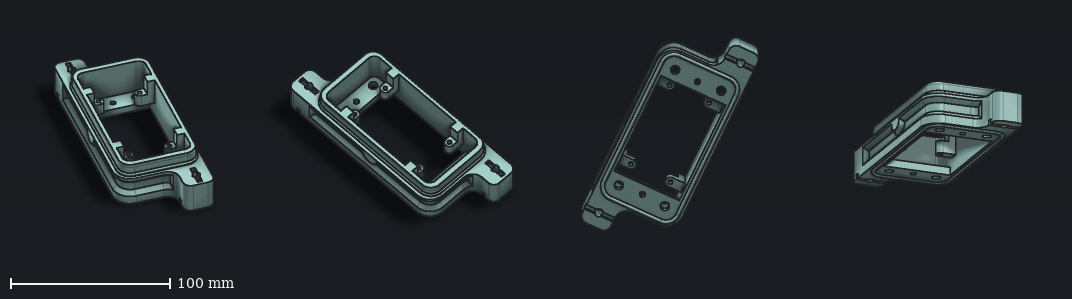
import cadquery as cq
import math

BASE_X = 107.7
BASE_Y = 58.0
OVERALL_X = 145.0
EAR_Y = 20.0
BASE_CORNER_R = 11.7
EAR_CORNER_R = 5.1
EAR_FILLET_R = 7.7
BASE_BOTTOM_Z = 1.3
BASE_TOP_Z = 21.3

RIM_X = 102.7
RIM_Y = 51.6
RIM_CORNER_R = 8.3
TOP_Z = 30.3
RIM_BEVEL_IN = 0.5
RIM_BEVEL_DOWN = 1.7
BEAD_R = BASE_BOTTOM_Z
BEAD_INSET = 0.1

CAVITY_X = 94.0
CAVITY_Y = 45.0
CAVITY_CORNER_R = 5.0
OPENING_X = 68.5
SHELF_TOP_Z = 6.5
SHELF_HOLE_D = 5.5
SHELF_HOLE_X = 41.5
SHELF_HOLE_Y = 16.0
SHELF_SMALL_HOLE_D = 3.5
SHELF_SMALL_HOLE_X = 40.5

POST_X = 28.4
POST_WIDTH = 6.5
POST_DEPTH = 5.0
POST_BOTTOM_Z = 12.0
LUG_TOP_Z = 20.2
LUG_HOLE_Y = 13.6
LUG_HOLE_D = 2.8

GROOVE_BOTTOM_Z = 7.2
GROOVE_TOP_Z = 19.1
GROOVE_DEPTH = 3.0
GROOVE_SLOPE_ANGLE = 45
GROOVE_START_X = -53.2
GROOVE_END_X = 56.0
GROOVE_END_Y = 6.7
GROOVE_END_ANGLE = 8.0
THUMB_FACE_R = 6.1

EAR_HOLE_X = 63.0
EAR_HOLE_Y = 19.6
EAR_HOLE_D = 5.1
EAR_SLOT_LENGTH = 14.2
EAR_SLOT_WIDTH = 3.0
EAR_SLOT_DEPTH = 3.0

HALF_TURN = 180
ORIGIN = (0, 0, 0)
Z_END = (0, 0, 1)


def both_halves(shape):
    """The shape together with its copy turned half a turn about Z."""
    return shape.union(shape.rotate(ORIGIN, Z_END, HALF_TURN))


def rounded_block(length, width, corner_r, bottom_z, top_z):
    block = cq.Workplane("XY", origin=(0, 0, bottom_z)).rect(length, width).extrude(top_z - bottom_z)
    return block.edges("|Z").fillet(corner_r)


def mirrored_points(x, y):
    """Four points mirrored about both axes."""
    return [(sx * x, sy * y) for sx in (-1, 1) for sy in (-1, 1)]


def base_outline(z):
    """Z-shaped base outline at height z; each half lists corner, radius and directions in and out."""
    half = [
        (-OVERALL_X / 2, -BASE_Y / 2, EAR_CORNER_R, (0, -1), (1, 0)),
        (BASE_X / 2, -BASE_Y / 2, BASE_CORNER_R, (1, 0), (0, 1)),
        (BASE_X / 2, BASE_Y / 2 - EAR_Y, EAR_FILLET_R, (0, 1), (1, 0)),
        (OVERALL_X / 2, BASE_Y / 2 - EAR_Y, EAR_CORNER_R, (1, 0), (0, 1)),
    ]
    corners = []
    for sign in (1, -1):
        for x, y, r, (in_x, in_y), (out_x, out_y) in half:
            start = (sign * (x - r * in_x), sign * (y - r * in_y))
            end = (sign * (x + r * out_x), sign * (y + r * out_y))
            corners.append((start, end))
    first_end = corners[0][1]
    outline = cq.Workplane("XY", origin=(0, 0, z)).moveTo(*first_end)
    for start, end in corners[1:] + corners[:1]:
        outline = outline.lineTo(*start).tangentArcPoint(end, relative=False)
    return outline.close()


def bead(z):
    """Round bar following the rim's outer wall at height z."""
    path_x = RIM_X - 2 * BEAD_INSET
    path_y = RIM_Y - 2 * BEAD_INSET
    path = rounded_block(path_x, path_y, RIM_CORNER_R, z, TOP_Z).faces("<Z").wires()
    return cq.Workplane("YZ", origin=(0, -path_y / 2, z)).circle(BEAD_R).sweep(path)


def groove_zone():
    """Plan area of one groove: from a 45 degree end on the front face round to the side fillet."""
    end_overlap = 1.5
    end_dx = math.cos(math.radians(GROOVE_END_ANGLE))
    end_dy = math.sin(math.radians(GROOVE_END_ANGLE))
    inner_end_x = GROOVE_END_X / 2
    inner_end_y = GROOVE_END_Y - (GROOVE_END_X - inner_end_x) * end_dy / end_dx
    corners = [
        (GROOVE_START_X + BASE_Y / 2, 0),
        (inner_end_x, inner_end_y),
        (GROOVE_END_X + end_overlap * end_dx, GROOVE_END_Y + end_overlap * end_dy),
        (GROOVE_END_X + end_overlap * end_dx, -BASE_Y / 2),
        (GROOVE_START_X, -BASE_Y / 2),
    ]
    zone = cq.Workplane("XY", origin=(0, 0, GROOVE_BOTTOM_Z)).polyline(corners).close()
    return zone.extrude(GROOVE_TOP_Z - GROOVE_BOTTOM_Z)


def thumb_boss():
    """Cone on the groove floor whose lower half stays as a boss, hanging from the groove's top edge."""
    floor_y = -BASE_Y / 2 + GROOVE_DEPTH
    face = cq.Workplane("XZ", origin=(0, floor_y, GROOVE_TOP_Z))
    return face.circle(THUMB_FACE_R + GROOVE_DEPTH).extrude(GROOVE_DEPTH, taper=GROOVE_SLOPE_ANGLE)


def grooves():
    """Cutter for both grooves: a band round the base less the waisted core that remains."""
    band = base_outline(GROOVE_BOTTOM_Z).extrude(GROOVE_TOP_Z - GROOVE_BOTTOM_Z)
    slope_height = GROOVE_DEPTH / math.tan(math.radians(GROOVE_SLOPE_ANGLE))
    lower_slope = base_outline(GROOVE_BOTTOM_Z).extrude(slope_height, taper=GROOVE_SLOPE_ANGLE)
    upper_slope = base_outline(GROOVE_TOP_Z).extrude(-slope_height, taper=GROOVE_SLOPE_ANGLE)
    waist = base_outline(GROOVE_BOTTOM_Z).offset2D(-GROOVE_DEPTH).extrude(GROOVE_TOP_Z - GROOVE_BOTTOM_Z)
    one_groove = band.cut(waist).cut(lower_slope).cut(upper_slope).intersect(groove_zone())
    return both_halves(one_groove.cut(thumb_boss()))


def rim():
    """Upright rim on the base, with a steep bevel at the top."""
    block = rounded_block(RIM_X, RIM_Y, RIM_CORNER_R, BASE_TOP_Z, TOP_Z)
    return block.faces(">Z").chamfer(RIM_BEVEL_DOWN, RIM_BEVEL_IN)


def cavity():
    """Open cavity narrowing between the end shelves to a rectangular opening in the bottom."""
    upper = rounded_block(CAVITY_X, CAVITY_Y, CAVITY_CORNER_R, SHELF_TOP_Z, TOP_Z)
    opening = cq.Workplane("XY").rect(OPENING_X, CAVITY_Y).extrude(TOP_Z)
    return upper.union(opening)


def shelf_holes():
    plane = cq.Workplane("XY")
    large_points = mirrored_points(SHELF_HOLE_X, SHELF_HOLE_Y)
    large = plane.pushPoints(large_points).circle(SHELF_HOLE_D / 2).extrude(SHELF_TOP_Z)
    small_points = [(-SHELF_SMALL_HOLE_X, 0), (SHELF_SMALL_HOLE_X, 0)]
    small = plane.pushPoints(small_points).circle(SHELF_SMALL_HOLE_D / 2).extrude(SHELF_TOP_Z)
    return large.union(small)


def post(x, side):
    """Full-height post on one long wall with a lower round-ended lug; side is the sign of its Y."""
    wall_y = side * CAVITY_Y / 2
    plane = cq.Workplane("XY", origin=(x, 0, POST_BOTTOM_Z))
    upright_y = wall_y - side * POST_DEPTH / 2
    upright = plane.center(0, upright_y).rect(POST_WIDTH, POST_DEPTH).extrude(TOP_Z - POST_BOTTOM_Z)
    hole_y = side * LUG_HOLE_Y
    lug_height = LUG_TOP_Z - POST_BOTTOM_Z
    lug_middle = plane.center(0, (wall_y + hole_y) / 2)
    lug_straight = lug_middle.rect(POST_WIDTH, abs(wall_y - hole_y)).extrude(lug_height)
    lug_end = plane.center(0, hole_y).circle(POST_WIDTH / 2).extrude(lug_height)
    hole = plane.center(0, hole_y).circle(LUG_HOLE_D / 2).extrude(lug_height)
    lug = lug_straight.union(lug_end)
    return upright.union(lug).cut(hole)


def ear_cuts():
    """Through hole, top slot and bottom cross slot in each ear."""
    plane = cq.Workplane("XY").center(-EAR_HOLE_X, -EAR_HOLE_Y)
    hole = plane.circle(EAR_HOLE_D / 2).extrude(BASE_TOP_Z)
    top = plane.workplane(offset=BASE_TOP_Z)
    top_slot = top.rect(EAR_SLOT_LENGTH, EAR_SLOT_WIDTH).extrude(-EAR_SLOT_DEPTH)
    bottom = plane.workplane(offset=BASE_BOTTOM_Z)
    bottom_slot = bottom.rect(EAR_SLOT_WIDTH, 2 * EAR_Y).extrude(EAR_SLOT_DEPTH)
    return both_halves(hole.union(top_slot).union(bottom_slot))


base = base_outline(BASE_BOTTOM_Z).extrude(BASE_TOP_Z - BASE_BOTTOM_Z).cut(grooves())
result = base.union(rim())
for bead_z in (BASE_BOTTOM_Z, BASE_TOP_Z + BEAD_R):
    result = result.union(bead(bead_z))
result = result.cut(cavity()).cut(shelf_holes()).cut(ear_cuts())
for post_x, post_side in mirrored_points(POST_X, 1):
    result = result.union(post(post_x, post_side))